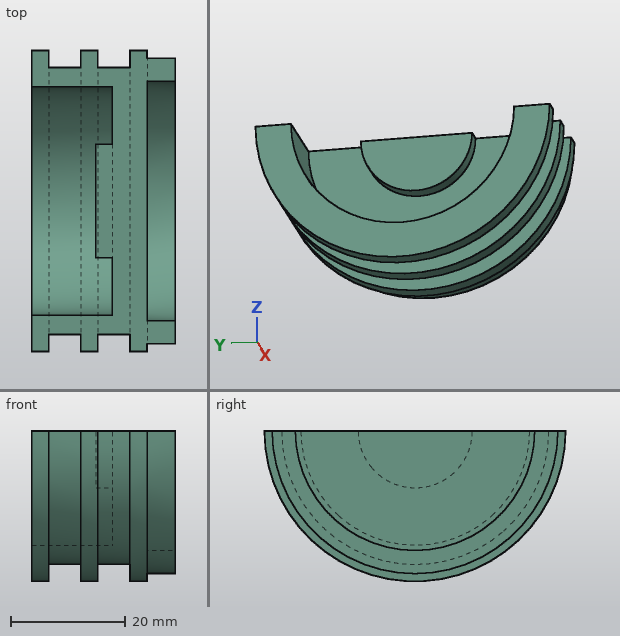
import cadquery as cq

total_length = 25.2
outer_radius = 26.4

rib_count = 3
rib_width = 3.0
groove_width = 5.6
groove_radius = 23.4
ribbed_length = rib_count * rib_width + (rib_count - 1) * groove_width

collar_radius = 25.05
rear_bore_radius = 20.95
rear_bore_depth = total_length - ribbed_length

front_bore_radius = 20.0
front_bore_depth = 14.15
boss_radius = 10.0
boss_height = 2.9


def cylinder(start, length, radius):
    """Solid cylinder along +X, beginning at x = start."""
    return cq.Workplane("YZ", origin=(start, 0, 0)).circle(radius).extrude(length)


def ribbed_body():
    """Groove-diameter core carrying the ribs and the rear collar."""
    body = cylinder(0, ribbed_length, groove_radius)
    for index in range(rib_count):
        rib_start = index * (rib_width + groove_width)
        body = body.union(cylinder(rib_start, rib_width, outer_radius))
    return body.union(cylinder(ribbed_length, rear_bore_depth, collar_radius))


def lower_half():
    """Box enclosing everything below the flat cut face."""
    return cq.Workplane("XY").box(
        total_length, 2 * outer_radius, outer_radius, centered=(False, True, False)
    ).translate((0, 0, -outer_radius))


front_cavity = cylinder(0, front_bore_depth, front_bore_radius)
rear_recess = cylinder(ribbed_length, rear_bore_depth, rear_bore_radius)
boss = cylinder(front_bore_depth - boss_height, boss_height, boss_radius)

full_round = ribbed_body().cut(front_cavity).cut(rear_recess).union(boss)
result = full_round.intersect(lower_half())